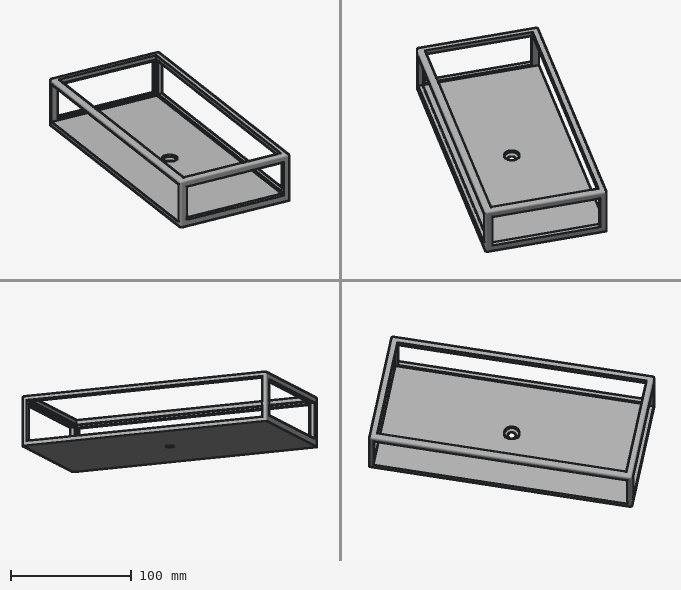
import cadquery as cq

length = 222.0
depth = 104.3
height = 42.5

wall = 4.0
frame_width = 6.0
edge_radius = 2.0

hole_diameter = 6.5
head_diameter = 12.6
head_recess = 2.0
cone_depth = 1.8

window_height = height - 2 * frame_width


def rounded_block():
    """Outer body with every outer edge rounded except those of the base."""
    block = cq.Workplane("XY").box(length, depth, height, centered=(True, True, False))
    return block.edges("|Z or >Z").fillet(edge_radius)


def front_cavity():
    """Interior space, open at the front (-Y) and closed by a wall at the back."""
    cavity_size = (length - 2 * wall, depth - wall, height - 2 * wall)
    cavity = cq.Workplane("XY").box(*cavity_size, centered=(True, True, False))
    return cavity.translate((0, -wall / 2, wall))


def side_windows():
    """Opening through both end walls."""
    window = cq.Workplane("XY").box(
        length, depth - 2 * frame_width, window_height, centered=(True, True, False)
    )
    return window.translate((0, 0, frame_width))


def back_window():
    """Opening through the back wall."""
    window = cq.Workplane("XY").box(
        length - 2 * frame_width, depth / 2, window_height, centered=(True, False, False)
    )
    return window.translate((0, 0, frame_width))


def top_window():
    """Opening through the roof."""
    window = cq.Workplane("XY").box(
        length - 2 * frame_width, depth - 2 * frame_width, height / 2, centered=(True, True, False)
    )
    return window.translate((0, 0, height / 2))


def screw_hole():
    """Through hole in the floor whose head seat is a short cylinder above a cone."""
    cone_top = wall - head_recess
    cone_bottom = cone_top - cone_depth
    hole_radius = hole_diameter / 2
    head_radius = head_diameter / 2
    profile = (
        cq.Workplane("XZ")
        .polyline([
            (0, 0),
            (hole_radius, 0),
            (hole_radius, cone_bottom),
            (head_radius, cone_top),
            (head_radius, wall),
            (0, wall),
        ])
        .close()
    )
    return profile.revolve(360, (0, 0), (0, 1))


tray = rounded_block()
openings = (front_cavity(), side_windows(), back_window(), top_window(), screw_hole())
for opening in openings:
    tray = tray.cut(opening)

result = tray